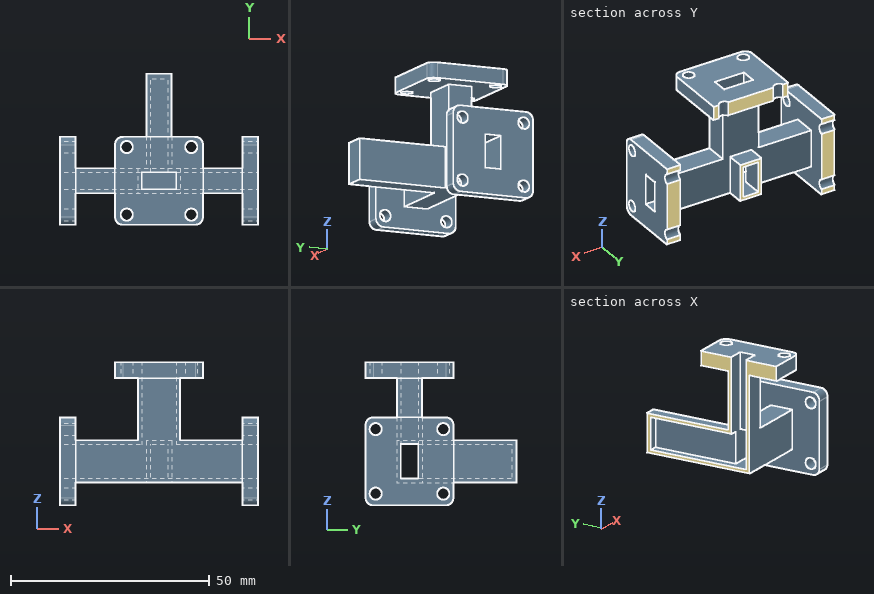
import cadquery as cq

bore_broad = 8.636
bore_narrow = 4.318
wall = 1.016
tube_broad = bore_broad + 2 * wall
tube_narrow = bore_narrow + 2 * wall

flange_size = 22.225
flange_thickness = 4.0
flange_corner_radius = 2.0
hole_diameter = 3.0
hole_pitch_broad = 16.26
hole_pitch_narrow = 17.04

side_reach = 25.0
top_reach = 25.0
back_reach = 27.0
back_cap_thickness = 1.25

left_arm = cq.Plane(origin=(0, 0, 0), xDir=(0, 0, 1), normal=(-1, 0, 0))
right_arm = cq.Plane(origin=(0, 0, 0), xDir=(0, 0, 1), normal=(1, 0, 0))
top_arm = cq.Plane(origin=(0, 0, 0), xDir=(1, 0, 0), normal=(0, 0, 1))
back_arm = cq.Plane(origin=(0, 0, 0), xDir=(0, 0, 1), normal=(0, 1, 0))

flanged_arms = [(left_arm, side_reach), (right_arm, side_reach), (top_arm, top_reach)]


def bar(arm, broad, narrow, reach):
    """Rectangular bar from the junction centre out along an arm."""
    return cq.Workplane(arm).rect(broad, narrow).extrude(reach)


def flange(arm, reach):
    """Rounded square flange with bolt holes, its outer face at the end of the arm."""
    plate = (
        cq.Workplane(arm)
        .workplane(offset=reach - flange_thickness)
        .rect(flange_size, flange_size)
        .extrude(flange_thickness)
    )
    plate = plate.edges(cq.selectors.ParallelDirSelector(arm.zDir)).fillet(flange_corner_radius)
    holes = (
        cq.Workplane(arm)
        .workplane(offset=reach - flange_thickness)
        .rect(hole_pitch_broad, hole_pitch_narrow, forConstruction=True)
        .vertices()
        .circle(hole_diameter / 2)
        .extrude(flange_thickness)
    )
    return plate.cut(holes)


body = bar(back_arm, tube_broad, tube_narrow, back_reach)
for arm, reach in flanged_arms:
    body = body.union(bar(arm, tube_broad, tube_narrow, reach)).union(flange(arm, reach))

for arm, reach in flanged_arms:
    body = body.cut(bar(arm, bore_broad, bore_narrow, reach))
body = body.cut(bar(back_arm, bore_broad, bore_narrow, back_reach - back_cap_thickness))

result = body